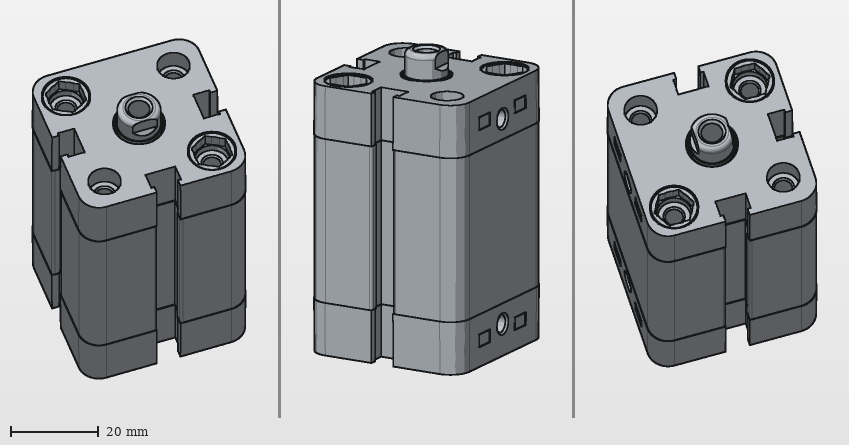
import cadquery as cq
import math

OVERALL_LENGTH = 70.0
ROD_PROJECTION = 6.0
BODY_LENGTH = OVERALL_LENGTH - ROD_PROJECTION
CAP_LENGTH = 12.5
BARREL_LENGTH = BODY_LENGTH - 2 * CAP_LENGTH

BODY_WIDTH = 40.05
CORNER_RADIUS = 4.9
CAP_TAPER = 0.56
CAP_SLOPE = math.tan(math.radians(CAP_TAPER))
CAP_FLARE = CAP_LENGTH * CAP_SLOPE
CAP_WIDTH = BODY_WIDTH + 2 * CAP_FLARE

CAP_SLOT_MOUTH = 5.75
CAP_SLOT_WIDTH = 7.2
CAP_SLOT_FLOOR = 14.4
CAP_SLOT_LIP = 18.35
BARREL_SLOT_MOUTH = 5.5
BARREL_SLOT_WIDTH = 6.8
BARREL_SLOT_FLOOR = 14.6
BARREL_SLOT_LIP = 18.1
MOUTH_ROUNDING = 0.6
SLOT_ANGLES = (0, 90, 270)

MOUNT_OFFSET = 13.0
MOUNT_BORE_DIAMETER = 7.5
MOUNT_BORE_DEPTH = 5.0
THREAD_DIAMETER = 4.1
THREAD_CHAMFER_DIAMETER = 5.0

HEAD_DIAMETER = 11.1
HEAD_FACE_DIAMETER = 10.5
HEAD_GROOVE_DEPTH = 0.55
HEAD_RECESS = 0.2
SOCKET_FLATS = 8.2
SOCKET_RELIEF_DIAMETER = 8.4
SOCKET_DEPTH = 3.15
SOCKET_SEAT_DIAMETER = 8.0
SOCKET_SEAT_DEPTH = 4.7

PORT_DISTANCE = 7.6
PORT_CHAMFER_DIAMETER = 5.2
PORT_DEPTH = 7.0
LABEL_LENGTH = 5.0
LABEL_HEIGHT = 3.0
LABEL_DEPTH = 0.2
LABEL_OFFSET = 8.1
LABEL_DISTANCE = 6.2

ROD_DIAMETER = 10.0
ROD_ROUNDING = 1.25
ROD_FLATS = 8.1
ROD_FLAT_LENGTH = 3.35
ROD_THREAD_DIAMETER = 4.9
ROD_THREAD_CHAMFER_DIAMETER = 6.2
ROD_THREAD_DEPTH = 10.0
RECESS_RIM_DIAMETER = 12.0
RECESS_DIAMETER = 11.4
RECESS_DEPTH = 0.85
LIP_BASE_DIAMETER = 10.9
LIP_DIAMETER = 10.5


def disc(diameter, z_bottom, z_top):
    """Upright cylinder on the Z axis."""
    return cq.Workplane("XY").workplane(offset=z_bottom).circle(diameter / 2).extrude(z_top - z_bottom)


def cone(bottom_diameter, top_diameter, z_bottom, z_top):
    """Upright truncated cone on the Z axis."""
    return cq.Workplane(
        cq.Solid.makeCone(
            bottom_diameter / 2, top_diameter / 2, z_top - z_bottom, pnt=cq.Vector(0, 0, z_bottom)
        )
    )


def chamfered_hole(diameter, chamfer_diameter, z_bottom, z_top):
    """Hole cutter with a 45 degree chamfer at its upper end."""
    chamfer = (chamfer_diameter - diameter) / 2
    return disc(diameter, z_bottom, z_top).union(cone(diameter, chamfer_diameter, z_top - chamfer, z_top))


def slot_cutters(mouth, width, floor, lip, z_bottom, height):
    """T-slot cutters for the three slotted sides."""
    outside = CAP_WIDTH
    plane = cq.Workplane("XY").workplane(offset=z_bottom)
    chamber = plane.center((floor + lip) / 2, 0).rect(lip - floor, width).extrude(height)
    neck = plane.center((floor + outside) / 2, 0).rect(outside - floor, mouth).extrude(height)
    slot = chamber.union(neck)
    return [slot.rotate((0, 0, 0), (0, 0, 1), angle) for angle in SLOT_ANGLES]


def mouth_edges(body):
    """Lengthwise edges where the slots open into the outer sides of the barrel."""
    half_width = BODY_WIDTH / 2
    half_mouth = BARREL_SLOT_MOUTH / 2
    tolerance = 0.1
    edges = body.edges("|Z")
    selected = []
    for angle in SLOT_ANGLES:
        for side in (-half_mouth, half_mouth):
            turn = math.radians(angle)
            x = half_width * math.cos(turn) - side * math.sin(turn)
            y = half_width * math.sin(turn) + side * math.cos(turn)
            box = cq.selectors.BoxSelector(
                (x - tolerance, y - tolerance, 0), (x + tolerance, y + tolerance, BODY_LENGTH)
            )
            selected += edges.edges(box).vals()
    return body.newObject(selected)


def make_barrel():
    barrel = (
        cq.Workplane("XY")
        .workplane(offset=CAP_LENGTH)
        .rect(BODY_WIDTH, BODY_WIDTH)
        .extrude(BARREL_LENGTH)
        .edges("|Z")
        .fillet(CORNER_RADIUS)
    )
    slots = slot_cutters(
        BARREL_SLOT_MOUTH, BARREL_SLOT_WIDTH, BARREL_SLOT_FLOOR, BARREL_SLOT_LIP, CAP_LENGTH, BARREL_LENGTH
    )
    for slot in slots:
        barrel = barrel.cut(slot)
    return mouth_edges(barrel).fillet(MOUTH_ROUNDING)


def make_plain_cap():
    """Cap with its end face up at the top of the body, carrying slots, port and label recesses."""
    joint = BODY_LENGTH - CAP_LENGTH
    base = cq.Workplane("XY").workplane(offset=joint)
    outline = cq.Sketch().rect(CAP_WIDTH, CAP_WIDTH).vertices().fillet(CORNER_RADIUS + CAP_FLARE)
    cap = base.placeSketch(outline).extrude(CAP_LENGTH, taper=CAP_TAPER)
    for slot in slot_cutters(CAP_SLOT_MOUTH, CAP_SLOT_WIDTH, CAP_SLOT_FLOOR, CAP_SLOT_LIP, joint, CAP_LENGTH):
        cap = cap.cut(slot)

    port_face = BODY_WIDTH / 2 + PORT_DISTANCE * CAP_SLOPE
    port = (
        chamfered_hole(THREAD_DIAMETER, PORT_CHAMFER_DIAMETER, port_face - PORT_DEPTH, port_face)
        .union(disc(PORT_CHAMFER_DIAMETER, port_face, CAP_WIDTH))
        .rotate((0, 0, 0), (0, 1, 0), -90)
        .translate((0, 0, BODY_LENGTH - PORT_DISTANCE))
    )
    cap = cap.cut(port)

    label_floor = BODY_WIDTH / 2 - LABEL_DEPTH
    labels = (
        cq.Workplane("YZ")
        .workplane(offset=-CAP_WIDTH)
        .pushPoints([(side * LABEL_OFFSET, BODY_LENGTH - LABEL_DISTANCE) for side in (-1, 1)])
        .rect(LABEL_LENGTH, LABEL_HEIGHT)
        .extrude(CAP_WIDTH - label_floor)
    )
    return cap.cut(labels)


def make_lower_cap():
    return make_plain_cap().mirror("XY", (0, 0, BODY_LENGTH / 2))


def thread_hole(depth):
    """Threaded hole running down through the upper cap from a seat at the given depth."""
    return chamfered_hole(
        THREAD_DIAMETER, THREAD_CHAMFER_DIAMETER, BODY_LENGTH - CAP_LENGTH, BODY_LENGTH - depth
    )


def counterbored_hole():
    return thread_hole(MOUNT_BORE_DEPTH).union(
        disc(MOUNT_BORE_DIAMETER, BODY_LENGTH - MOUNT_BORE_DEPTH, BODY_LENGTH)
    )


def screw_head():
    """Cutter for the V-groove around a sunken screw head and for its relieved hexagon socket."""
    groove_floor = BODY_LENGTH - HEAD_GROOVE_DEPTH
    head = cone(HEAD_DIAMETER, HEAD_FACE_DIAMETER, groove_floor, BODY_LENGTH - HEAD_RECESS)
    groove = disc(HEAD_DIAMETER, groove_floor, BODY_LENGTH).cut(head)

    socket_floor = BODY_LENGTH - SOCKET_DEPTH
    corner_diameter = SOCKET_FLATS / math.cos(math.pi / 6)
    hexagon = (
        cq.Workplane("XY").workplane(offset=socket_floor).polygon(6, corner_diameter).extrude(SOCKET_DEPTH)
    )
    relief = disc(SOCKET_RELIEF_DIAMETER, socket_floor, BODY_LENGTH)
    seat_floor = BODY_LENGTH - SOCKET_SEAT_DEPTH
    seat = cone(MOUNT_BORE_DIAMETER, SOCKET_SEAT_DIAMETER, seat_floor, socket_floor)
    socket = hexagon.union(relief).union(seat).union(thread_hole(SOCKET_SEAT_DEPTH))
    return groove.union(socket)


def rod_recess():
    """Cutter for the groove around the rod: chamfered rim outside, sloping wiper lip inside."""
    floor = BODY_LENGTH - RECESS_DEPTH
    recess = chamfered_hole(RECESS_DIAMETER, RECESS_RIM_DIAMETER, floor, BODY_LENGTH)
    return recess.cut(cone(LIP_BASE_DIAMETER, LIP_DIAMETER, floor, BODY_LENGTH))


def make_upper_cap():
    cap = make_plain_cap()
    for x_side in (-1, 1):
        for y_side in (-1, 1):
            cutter = screw_head() if x_side == y_side else counterbored_hole()
            cap = cap.cut(cutter.translate((x_side * MOUNT_OFFSET, y_side * MOUNT_OFFSET, 0)))
    guide = disc(ROD_DIAMETER, BODY_LENGTH - CAP_LENGTH, BODY_LENGTH)
    return cap.cut(guide).cut(rod_recess())


def make_rod():
    rod = disc(ROD_DIAMETER, BODY_LENGTH - CAP_LENGTH, OVERALL_LENGTH)
    rod = rod.faces(">Z").edges().fillet(ROD_ROUNDING)
    thread_floor = OVERALL_LENGTH - ROD_THREAD_DEPTH
    rod = rod.cut(
        chamfered_hole(ROD_THREAD_DIAMETER, ROD_THREAD_CHAMFER_DIAMETER, thread_floor, OVERALL_LENGTH)
    )

    half_flats = ROD_FLATS / 2
    flat_end = OVERALL_LENGTH - ROD_FLAT_LENGTH
    run_out = ROD_DIAMETER - half_flats
    flat = (
        cq.Workplane("XZ")
        .moveTo(half_flats, OVERALL_LENGTH)
        .lineTo(half_flats, flat_end)
        .lineTo(ROD_DIAMETER, flat_end - run_out)
        .lineTo(ROD_DIAMETER, OVERALL_LENGTH)
        .close()
        .extrude(ROD_DIAMETER / 2, both=True)
    )
    return rod.cut(flat).cut(flat.mirror("YZ"))


barrel = make_barrel()
upper_cap = make_upper_cap()
lower_cap = make_lower_cap()
rod = make_rod()

result = cq.Compound.makeCompound([barrel.val(), upper_cap.val(), lower_cap.val(), rod.val()])